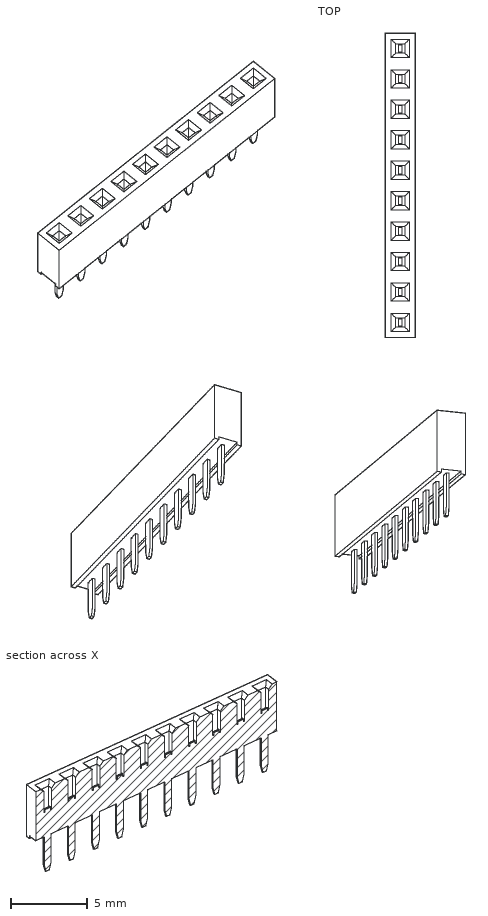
import cadquery as cq

pin_count = 10
pitch = 2.0
housing_width = 2.0
housing_length = pin_count * pitch
overall_height = 6.9
housing_height = 4.22

foot_width = 0.32
foot_height = 0.2

funnel_mouth = 1.2
funnel_throat = 0.6
funnel_depth = 0.3
well_depth = 2.0

pin_thickness = 0.2
pin_width = 0.6
pin_tip_width = 0.3
pin_taper_length = 0.6
contact_width = 0.48
contact_height = 0.2

channel_roof = foot_height
pin_bottom = housing_height - overall_height
well_floor = housing_height - well_depth


def make_housing():
    block = cq.Workplane("XY").box(
        housing_width, housing_length, housing_height, centered=(True, True, False)
    )
    channel = cq.Workplane("XY").box(
        housing_width - 2 * foot_width, housing_length, foot_height, centered=(True, True, False)
    )
    return block.cut(channel)


def make_socket():
    funnel = (
        cq.Workplane("XY", origin=(0, 0, housing_height))
        .rect(funnel_mouth, funnel_mouth)
        .workplane(offset=-funnel_depth)
        .rect(funnel_throat, funnel_throat)
        .loft(ruled=True)
    )
    well = (
        cq.Workplane("XY", origin=(0, 0, well_floor))
        .rect(funnel_throat, funnel_throat)
        .extrude(well_depth - funnel_depth)
    )
    return funnel.union(well)


def make_pin():
    half_width = pin_width / 2
    half_tip = pin_tip_width / 2
    taper_start = pin_bottom + pin_taper_length
    tail = (
        cq.Workplane("YZ")
        .moveTo(-half_width, channel_roof)
        .lineTo(-half_width, taper_start)
        .lineTo(-half_tip, pin_bottom)
        .lineTo(half_tip, pin_bottom)
        .lineTo(half_width, taper_start)
        .lineTo(half_width, channel_roof)
        .close()
        .extrude(pin_thickness / 2, both=True)
    )
    contact = (
        cq.Workplane("XY", origin=(0, 0, channel_roof))
        .rect(pin_thickness, contact_width)
        .extrude(well_floor + contact_height - channel_roof)
    )
    return tail.union(contact)


result = make_housing()
socket = make_socket()
pin = make_pin()
for index in range(pin_count):
    offset = (0, (index - (pin_count - 1) / 2) * pitch, 0)
    result = result.cut(socket.translate(offset)).union(pin.translate(offset))